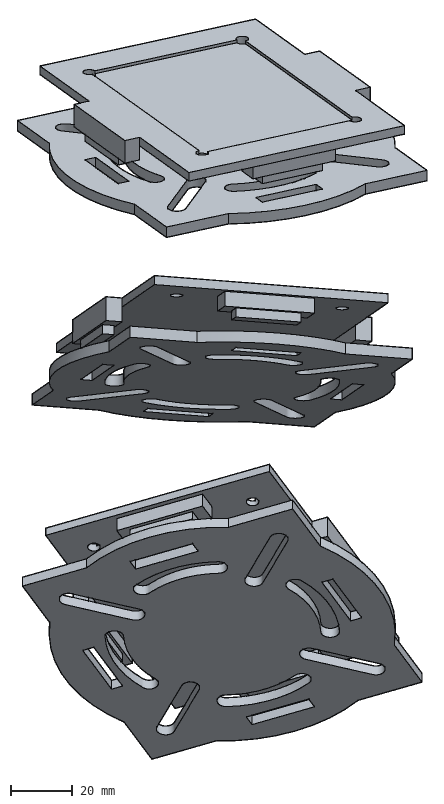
import cadquery as cq
import math

total_height = 21.2
base_thickness = 3.7
plate_thickness = 3.0
tab_height = 8.0
tongue_height = 3.0

disc_radius = 56.2
base_length = 100.3
base_width = 96.7

plate_length = base_length
plate_width = 80.0

pocket_length = 75.9
pocket_width = 56.8
pocket_depth = 1.0
relief_diameter = 4.0

end_tab_width = 30.7
end_tab_depth = 7.3
end_tab_inset = 1.7
end_tongue_depth = 4.4
end_tongue_reach = 47.2
side_tab_width = 34.1
side_tab_depth = 5.5
side_tongue_depth = 3.9
tongue_width = 22.4

slot_width = 6.1
diagonal_slot_inner = 30.0
diagonal_slot_outer = 53.2
arc_slot_radius = 35.1
arc_slot_half_angle = 22.6

plate_bottom = total_height - plate_thickness
tab_bottom = total_height - tab_height
tongue_bottom = tab_bottom - tongue_height
end_tab_centre = plate_length / 2 - end_tab_inset - end_tab_depth / 2
end_tongue_centre = end_tongue_reach - end_tongue_depth / 2
side_tab_centre = plate_width / 2 + side_tab_depth / 2
signs = (-1, 1)
axis_directions = (0, 90, 180, 270)
diagonal_directions = (45, 135, 225, 315)


def block(length, width, bottom, top, x=0, y=0):
    """Rectangular block centred on (x, y) between two heights."""
    return cq.Workplane("XY", origin=(x, y, bottom)).rect(length, width).extrude(top - bottom)


def tongue_blocks(bottom, top):
    """The four tongue outlines as blocks; they also shape the mating slots."""
    blocks = []
    for sign in signs:
        blocks.append(block(end_tongue_depth, tongue_width, bottom, top, x=sign * end_tongue_centre))
        blocks.append(block(tongue_width, side_tongue_depth, bottom, top, y=sign * side_tab_centre))
    return blocks


def polar(radius, angle):
    """Point at a radius and an angle in degrees."""
    return (radius * math.cos(math.radians(angle)), radius * math.sin(math.radians(angle)))


def arc_slot(direction):
    """Curved slot concentric with the disc, with rounded ends."""
    inner = arc_slot_radius - slot_width / 2
    outer = arc_slot_radius + slot_width / 2
    start = direction - arc_slot_half_angle
    end = direction + arc_slot_half_angle
    slot = (
        cq.Workplane("XY")
        .moveTo(*polar(inner, start))
        .threePointArc(polar(inner, direction), polar(inner, end))
        .lineTo(*polar(outer, end))
        .threePointArc(polar(outer, direction), polar(outer, start))
        .close()
        .extrude(base_thickness)
    )
    rounded_ends = (
        cq.Workplane("XY")
        .pushPoints([polar(arc_slot_radius, start), polar(arc_slot_radius, end)])
        .circle(slot_width / 2)
        .extrude(base_thickness)
    )
    return slot.union(rounded_ends)


def diagonal_slot(direction):
    """Straight rounded slot along a diagonal of the base."""
    slot_length = diagonal_slot_outer - diagonal_slot_inner + slot_width
    return (
        cq.Workplane("XY")
        .center(*polar((diagonal_slot_inner + diagonal_slot_outer) / 2, direction))
        .slot2D(slot_length, slot_width, direction)
        .extrude(base_thickness)
    )


def make_base():
    """Slotted base that receives the tongues of the frame."""
    base = cq.Workplane("XY").circle(disc_radius).extrude(base_thickness)
    base = base.union(block(base_length, base_width, 0, base_thickness))
    for slot in tongue_blocks(0, base_thickness):
        base = base.cut(slot)
    for direction in diagonal_directions:
        base = base.cut(diagonal_slot(direction))
    for direction in axis_directions:
        base = base.cut(arc_slot(direction))
    return base


def make_frame():
    """Pocketed plate with four downward tabs that end in tongues."""
    frame = block(plate_length, plate_width, plate_bottom, total_height)
    for sign in signs:
        end_tab = block(end_tab_depth, end_tab_width, tab_bottom, plate_bottom, x=sign * end_tab_centre)
        side_tab = block(side_tab_width, side_tab_depth, tab_bottom, total_height, y=sign * side_tab_centre)
        frame = frame.union(end_tab).union(side_tab)
    for tongue in tongue_blocks(tongue_bottom, tab_bottom):
        frame = frame.union(tongue)

    frame = frame.cut(block(pocket_length, pocket_width, total_height - pocket_depth, total_height))
    relief_holes = (
        cq.Workplane("XY", origin=(0, 0, plate_bottom))
        .rect(pocket_length, pocket_width, forConstruction=True)
        .vertices()
        .circle(relief_diameter / 2)
        .extrude(plate_thickness)
    )
    return frame.cut(relief_holes)


base = make_base()
frame = make_frame()

result = cq.Compound.makeCompound([base.val(), frame.val()])